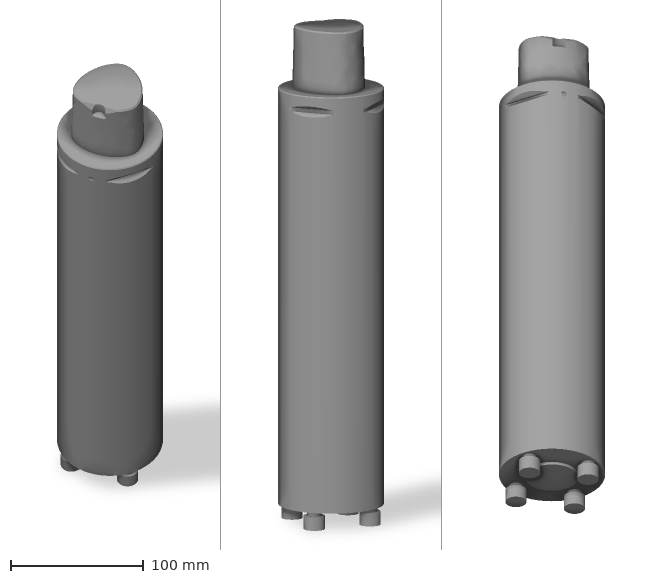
import cadquery as cq
import math

total_height = 380.7
body_diameter = 80.0
body_radius = body_diameter / 2
body_bottom = 13.7
body_top = 333.5
rim_chamfer = 0.8

base_radius = 27.5
top_radius = 26.3
lobe_height = 2.0
outline_points = 48
shank_chamfer = 1.0

flat_inset_y = -21.5
flat_slope = 1.4
notch_diameter = 11.0
notch_center_y = -25.5
notch_inner_depth = 7.5
notch_outer_depth = 12.0

groove_z = 321.7
groove_floor_distance = 35.0
groove_flare_distance = 36.0
groove_floor_height = 3.0
groove_mouth_height = 8.5
hole_diameter = 4.0
hole_depth = 1.0

spigot_diameter = 40.0
spigot_height = 2.3
foot_diameter = 16.0
foot_height = 10.3
foot_neck_diameter = 11.0
foot_circle_radius = body_radius - foot_diameter / 2
diagonal_angles = (45, 135, 225, 315)


def lobed_point(mean_radius, angle):
    """Point of a constant-width curve with one of its three lobes on +Y."""
    phase = 3 * (angle - math.pi / 2)
    support = mean_radius + lobe_height * math.cos(phase)
    slope = -3 * lobe_height * math.sin(phase)
    return (
        support * math.cos(angle) - slope * math.sin(angle),
        support * math.sin(angle) + slope * math.cos(angle),
    )


def lobed_outline(mean_radius):
    angles = [2 * math.pi * i / outline_points for i in range(outline_points)]
    return [lobed_point(mean_radius, angle) for angle in angles]


def cylinder(diameter, bottom, top, x=0, y=0):
    return cq.Workplane("XY", origin=(x, y, bottom)).circle(diameter / 2).extrude(top - bottom)


def make_notch():
    """Upright round notch whose floor slopes down towards -Y."""
    inner_y = notch_center_y + notch_diameter / 2
    outer_y = notch_center_y - notch_diameter / 2
    envelope = (
        cq.Workplane("YZ")
        .moveTo(inner_y, total_height)
        .lineTo(inner_y, total_height - notch_inner_depth)
        .lineTo(outer_y, total_height - notch_outer_depth)
        .lineTo(outer_y, total_height)
        .close()
        .extrude(notch_diameter, both=True)
    )
    bore = cylinder(notch_diameter, body_top, total_height, y=notch_center_y)
    return bore.intersect(envelope)


def make_shank():
    shank = (
        cq.Workplane("XY", origin=(0, 0, body_top))
        .spline(lobed_outline(base_radius), periodic=True)
        .close()
        .workplane(offset=total_height - body_top)
        .spline(lobed_outline(top_radius), periodic=True)
        .close()
        .loft(ruled=True)
        .faces(">Z")
        .chamfer(shank_chamfer)
    )
    flat_outer_y = -body_radius
    flat_drop = (flat_inset_y - flat_outer_y) * flat_slope
    wedge = (
        cq.Workplane("YZ")
        .moveTo(flat_inset_y, total_height)
        .lineTo(flat_outer_y, total_height)
        .lineTo(flat_outer_y, total_height - flat_drop)
        .close()
        .extrude(body_radius, both=True)
    )
    return shank.cut(wedge).cut(make_notch())


def make_groove(angle):
    """Straight groove across the body rim, with a flat floor, short upright sides and a flared mouth."""
    floor_half = groove_floor_height / 2
    mouth_half = groove_mouth_height / 2
    groove = (
        cq.Workplane("XZ")
        .moveTo(groove_floor_distance, groove_z - floor_half)
        .lineTo(groove_flare_distance, groove_z - floor_half)
        .lineTo(body_radius, groove_z - mouth_half)
        .lineTo(body_radius, groove_z + mouth_half)
        .lineTo(groove_flare_distance, groove_z + floor_half)
        .lineTo(groove_floor_distance, groove_z + floor_half)
        .close()
        .extrude(body_radius, both=True)
    )
    return groove.rotate((0, 0, 0), (0, 0, 1), angle)


def make_body():
    body = cylinder(body_diameter, body_bottom, body_top).faces(">Z").chamfer(rim_chamfer)
    for angle in diagonal_angles:
        body = body.cut(make_groove(angle))
    hole = (
        cq.Workplane("XZ", origin=(0, -body_radius, groove_z))
        .circle(hole_diameter / 2)
        .extrude(-hole_depth)
    )
    return body.cut(hole)


def make_foot(angle):
    x = foot_circle_radius * math.cos(math.radians(angle))
    y = foot_circle_radius * math.sin(math.radians(angle))
    neck = cylinder(foot_neck_diameter, foot_height, body_bottom, x, y)
    return cylinder(foot_diameter, 0, foot_height, x, y).union(neck)


result = make_body().union(make_shank())
result = result.union(cylinder(spigot_diameter, body_bottom - spigot_height, body_bottom))
for foot_angle in diagonal_angles:
    result = result.union(make_foot(foot_angle))